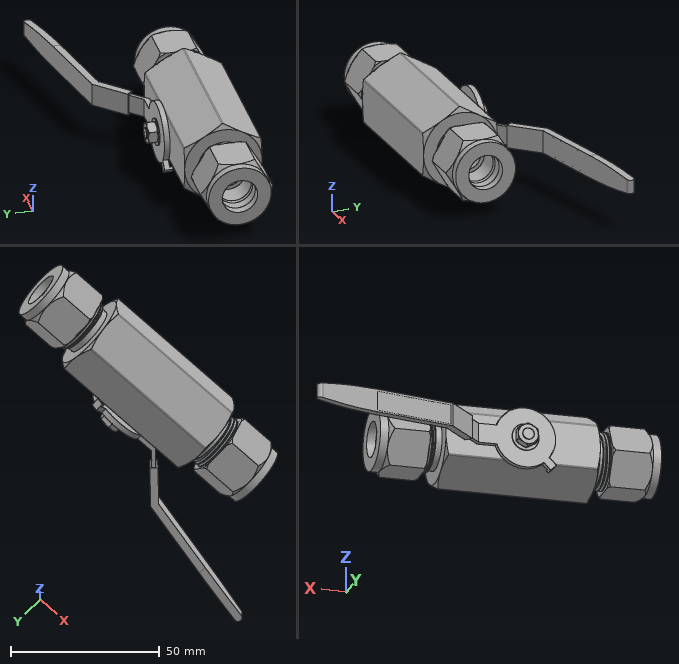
import cadquery as cq
import math


body_length = 54.2
body_flats = 27.0
body_edge_radius = 0.5
body_end_cone_length = 0.95
body_corner_radius = body_flats / math.sqrt(3)
port_diameter = 9.2

valve_length = 98.7
valve_end = valve_length / 2
nut_length = 17.4
nut_flats = 22.0
nut_corner_radius = nut_flats / math.sqrt(3)
nut_collar_length = 2.9
nut_collar_diameter = 21.9
nut_front_cone_length = 1.7
nut_back_cone_length = 0.8
nut_back_face_diameter = 23.8
nut_bore = 12.3
nut_lip_length = 3.1

ferrule_diameter = 15.5
ferrule_length = 3.5
spigot_end = valve_end - nut_lip_length - ferrule_length

thread_diameter = 20.0
thread_pitch = 1.27
thread_depth = 0.8
thread_angle = 60
thread_start_angle = 200
thread_groove_overshoot = 0.1
thread_end = valve_end - 20.0
thread_end_bevel = 0.8
neck_diameter = 17.5
socket_diameter = 11.9
socket_depth = 9.0
socket_mouth_diameter = 14.3
socket_mouth_length = 1.2

plate_bottom = 14.25
plate_thickness = 2.0
plate_top = plate_bottom + plate_thickness
stem_diameter = 6.2
stem_foot = 8.0
stem_thread_diameter = 4.0
stem_top = 20.2
stem_nut_flats = 7.0
stem_nut_top = 19.9
stem_nut_flange_diameter = 9.4
stem_nut_flange_thickness = 0.4
stem_nut_cone_length = 0.3

disc_radius = 10.6
tab_width = 2.8
tab_reach = 14.0
tab_angle = 225
tab_leg_thickness = 1.0
tab_leg_bottom = 13.2
grip_width = 8.2
grip_wall = 0.7
arm_width = grip_width - 2 * grip_wall
plate_middle = plate_bottom + plate_thickness / 2
first_bend = (16.4, plate_middle)
second_bend = (30.35, 29.7)

grip_thickness = 2.8
grip_radius = grip_thickness / 2
grip_start_x = 21.0
grip_tip_x = 80.15
grip_top = 42.0
grip_end = (grip_tip_x - grip_radius, grip_top - grip_radius)
taper_start_x = 57.9
grip_end_width = 4.8


def point_at_x(start, end, x):
    """Point with the given X on the line through two points."""
    share = (x - start[0]) / (end[0] - start[0])
    return (x, start[1] + share * (end[1] - start[1]))


def turned_on_x(points):
    """Revolve a closed outline of (X, radius) points about the X axis."""
    return cq.Workplane("XY").polyline(points).close().revolve(360, (0, 0, 0), (1, 0, 0))


def rod_on_x(diameter, start, end):
    return cq.Workplane("YZ").workplane(offset=start).circle(diameter / 2).extrude(end - start)


def rod_on_y(diameter, start, end):
    return cq.Workplane("ZX").workplane(offset=start).circle(diameter / 2).extrude(end - start)


def at_other_end(shape):
    """Turn a part of the +X end half a turn about Z to the -X end."""
    return shape.rotate((0, 0, 0), (0, 0, 1), 180)


def make_body_hexagon():
    hexagon = (
        cq.Workplane("YZ")
        .workplane(offset=-body_length / 2)
        .transformed(rotate=(0, 0, 90))
        .polygon(6, 2 * body_corner_radius)
        .extrude(body_length)
        .edges("|X")
        .fillet(body_edge_radius)
    )
    half = body_length / 2
    shoulder = half - body_end_cone_length
    limits = turned_on_x([
        (-half, 0),
        (-half, body_flats / 2),
        (-shoulder, body_corner_radius),
        (shoulder, body_corner_radius),
        (half, body_flats / 2),
        (half, 0),
    ])
    return hexagon.intersect(limits)


def make_thread_groove():
    """V groove along a helix that runs out past both ends of the thread."""
    start = thread_end - thread_pitch
    length = spigot_end - start + thread_pitch
    root_radius = thread_diameter / 2 - thread_depth
    mouth_radius = thread_diameter / 2 + thread_groove_overshoot
    half_width = (mouth_radius - root_radius) * math.tan(math.radians(thread_angle / 2))
    helix = cq.Wire.makeHelix(thread_pitch, length, root_radius)
    groove = (
        cq.Workplane("XZ")
        .polyline([
            (root_radius, 0),
            (mouth_radius, half_width),
            (mouth_radius, -half_width),
        ])
        .close()
        .sweep(cq.Workplane(obj=helix), isFrenet=True)
    )
    groove = groove.rotate((0, 0, 0), (0, 1, 0), 90).rotate((0, 0, 0), (1, 0, 0), thread_start_angle)
    return groove.translate((start, 0, 0))


def make_spigot():
    radius = thread_diameter / 2
    thread = turned_on_x([
        (thread_end, 0),
        (thread_end, radius - thread_end_bevel),
        (thread_end + thread_end_bevel, radius),
        (spigot_end - thread_end_bevel, radius),
        (spigot_end, radius - thread_end_bevel),
        (spigot_end, 0),
    ])
    thread = thread.cut(make_thread_groove())
    neck = rod_on_x(neck_diameter, body_length / 2, thread_end)
    return neck.union(thread)


def make_socket():
    bottom = spigot_end - socket_depth
    return turned_on_x([
        (bottom, 0),
        (bottom, socket_diameter / 2),
        (spigot_end - socket_mouth_length, socket_diameter / 2),
        (spigot_end, socket_mouth_diameter / 2),
        (spigot_end, 0),
    ])


def make_body():
    body = make_body_hexagon()
    spigot = make_spigot()
    socket = make_socket()
    body = body.union(spigot).union(at_other_end(spigot))
    body = body.cut(socket).cut(at_other_end(socket))
    body = body.cut(rod_on_x(port_diameter, -spigot_end, spigot_end))
    return body.cut(rod_on_y(stem_diameter, stem_foot, plate_bottom))


def make_coupling_nut():
    back = valve_end - nut_length
    collar = valve_end - nut_collar_length
    hexagon = (
        cq.Workplane("YZ").workplane(offset=back).polygon(6, 2 * nut_corner_radius).extrude(nut_length)
    )
    limits = turned_on_x([
        (back, 0),
        (back, nut_back_face_diameter / 2),
        (back + nut_back_cone_length, nut_corner_radius),
        (collar - nut_front_cone_length, nut_corner_radius),
        (collar, nut_collar_diameter / 2),
        (valve_end, nut_collar_diameter / 2),
        (valve_end, 0),
    ])
    nut = hexagon.intersect(limits)
    nut = nut.cut(rod_on_x(nut_bore, back, valve_end))
    nut = nut.cut(rod_on_x(ferrule_diameter, back, valve_end - nut_lip_length))
    return nut.cut(rod_on_x(thread_diameter, back, spigot_end))


def make_ferrule():
    ring = rod_on_x(ferrule_diameter, spigot_end, valve_end - nut_lip_length)
    return ring.cut(rod_on_x(nut_bore, spigot_end, valve_end))


def make_stem():
    shank = rod_on_y(stem_diameter, stem_foot, plate_bottom)
    return shank.union(rod_on_y(stem_thread_diameter, plate_bottom, stem_top))


def make_stem_nut():
    corner_radius = stem_nut_flats / math.sqrt(3)
    flange_top = plate_top + stem_nut_flange_thickness
    hexagon = (
        cq.Workplane("ZX")
        .workplane(offset=flange_top)
        .polygon(6, 2 * corner_radius)
        .extrude(stem_nut_top - flange_top)
    )
    limits = rod_on_y(2 * corner_radius, flange_top, stem_nut_top)
    limits = limits.edges().chamfer(stem_nut_cone_length, corner_radius - stem_nut_flats / 2)
    flange = rod_on_y(stem_nut_flange_diameter, plate_top, flange_top)
    nut = hexagon.intersect(limits).union(flange)
    return nut.cut(rod_on_y(stem_thread_diameter, plate_top, stem_nut_top))


def make_stop_tab():
    """Tab beyond the disc edge, with its end turned down toward the body."""
    tab = (
        cq.Workplane("XY")
        .box(tab_reach, plate_thickness, tab_width, centered=(False, False, True))
        .translate((0, plate_bottom, 0))
    )
    leg = (
        cq.Workplane("XY")
        .box(tab_leg_thickness, plate_top - tab_leg_bottom, tab_width, centered=(False, False, True))
        .translate((tab_reach - tab_leg_thickness, tab_leg_bottom, 0))
    )
    return tab.union(leg).rotate((0, 0, 0), (0, 1, 0), -tab_angle)


def make_arm():
    """Bent strip with the same height in Y all along; its end is hidden in the grip."""
    arm_end = point_at_x(second_bend, grip_end, taper_start_x)
    path = [(0, plate_middle), first_bend, second_bend, arm_end]
    rise = plate_thickness / 2
    upper = [(x, y + rise) for x, y in path]
    lower = [(x, y - rise) for x, y in reversed(path)]
    return cq.Workplane("XY").polyline(upper + lower).close().extrude(arm_width / 2, both=True)


def make_handle():
    handle = rod_on_y(2 * disc_radius, plate_bottom, plate_top)
    handle = handle.union(make_stop_tab()).union(make_arm())
    return handle.cut(rod_on_y(stem_thread_diameter, plate_bottom, plate_top))


def make_grip_strip():
    """Bent strip with one bend and a rounded tip."""
    start = point_at_x(first_bend, second_bend, grip_start_x)
    first_angle = math.atan2(second_bend[1] - start[1], second_bend[0] - start[0])
    last_angle = math.atan2(grip_end[1] - second_bend[1], grip_end[0] - second_bend[0])
    bend_angle = (first_angle + last_angle) / 2
    bend_offset = grip_radius / math.cos((first_angle - last_angle) / 2)

    def beside(point, angle, offset):
        return (point[0] - offset * math.sin(angle), point[1] + offset * math.cos(angle))

    tip = beside(grip_end, last_angle - math.pi / 2, grip_radius)
    return (
        cq.Workplane("XY")
        .moveTo(*beside(start, first_angle, grip_radius))
        .lineTo(*beside(second_bend, bend_angle, bend_offset))
        .lineTo(*beside(grip_end, last_angle, grip_radius))
        .threePointArc(tip, beside(grip_end, last_angle, -grip_radius))
        .lineTo(*beside(second_bend, bend_angle, -bend_offset))
        .lineTo(*beside(start, first_angle, -grip_radius))
        .close()
        .extrude(grip_width / 2, both=True)
    )


def taper_middle():
    """Point halfway along the arc that leaves the straight side smoothly and ends at the tip."""
    run = grip_tip_x - taper_start_x
    drop = (grip_width - grip_end_width) / 2
    radius = (run**2 + drop**2) / (2 * drop)
    half_turn = math.asin(run / radius) / 2
    x = taper_start_x + radius * math.sin(half_turn)
    return (x, grip_width / 2 - radius * (1 - math.cos(half_turn)))


def make_grip_plan():
    """Block with the grip's width: straight, then narrowing in two arcs toward the tip."""
    half = grip_width / 2
    end_half = grip_end_width / 2
    return (
        cq.Workplane("XZ")
        .moveTo(0, -half)
        .lineTo(taper_start_x, -half)
        .tangentArcPoint((grip_tip_x, -end_half), relative=False)
        .lineTo(grip_tip_x, end_half)
        .threePointArc(taper_middle(), (taper_start_x, half))
        .lineTo(0, half)
        .close()
        .extrude(-grip_top)
    )


def make_grip(handle):
    return make_grip_strip().intersect(make_grip_plan()).cut(handle)


body = make_body()
coupling_nut = make_coupling_nut()
ferrule = make_ferrule()
stem = make_stem()
stem_nut = make_stem_nut()
handle = make_handle()
grip = make_grip(handle)

end_fittings = []
for fitting in (coupling_nut, ferrule):
    end_fittings.append(fitting.val())
    end_fittings.append(at_other_end(fitting).val())

result = cq.Compound.makeCompound([
    body.val(),
    *end_fittings,
    stem.val(),
    stem_nut.val(),
    handle.val(),
    grip.val(),
])